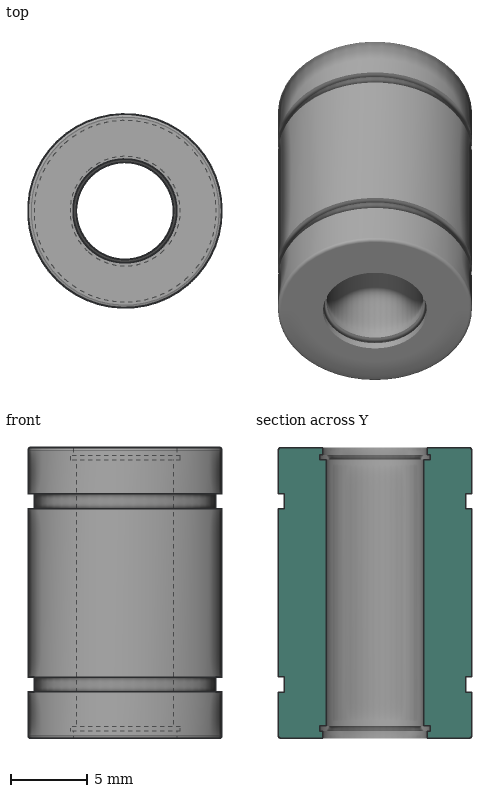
import cadquery as cq

outer_diameter = 12.7
length = 19.05
bore_diameter = 6.35
rim_fillet = 0.2

groove_diameter = 11.91
groove_width = 0.96
groove_outer_span = 12.95

mouth_diameter = 6.8
mouth_depth = 0.8
undercut_diameter = 7.2
undercut_width = 0.3


def centred_disc(diameter, height, centre_z=0):
    """Cylinder on the Z axis, centred at the given height."""
    return cq.Workplane("XY").workplane(offset=centre_z - height / 2).circle(diameter / 2).extrude(height)


def sleeve_body():
    """Solid cylinder centred on the origin with both outer rims rounded."""
    return centred_disc(outer_diameter, length).faces("<Z or >Z").edges().fillet(rim_fillet)


def ring_groove(centre_z):
    """Annular cutter for one retaining-ring groove."""
    blank = centred_disc(outer_diameter, groove_width, centre_z)
    return blank.cut(centred_disc(groove_diameter, groove_width, centre_z))


def bore_mouth(end):
    """Cutter for the mouth and undercut at one end of the bore (end is +1 or -1)."""
    mouth_centre = end * (length - mouth_depth) / 2
    undercut_centre = end * (length / 2 - mouth_depth + undercut_width / 2)
    mouth = centred_disc(mouth_diameter, mouth_depth, mouth_centre)
    return mouth.union(centred_disc(undercut_diameter, undercut_width, undercut_centre))


result = sleeve_body().cut(centred_disc(bore_diameter, length))

for end in (-1, 1):
    result = result.cut(ring_groove(end * (groove_outer_span - groove_width) / 2))
    result = result.cut(bore_mouth(end))